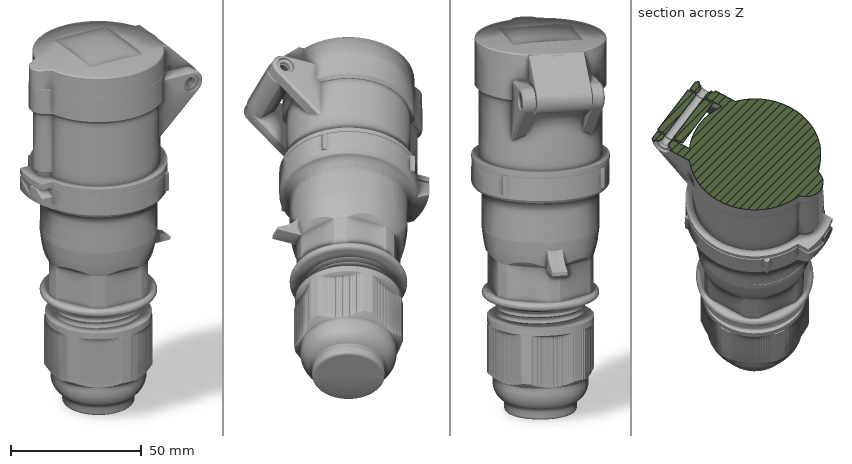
import math

import cadquery as cq

OVERLAP = 1.0

TOTAL_HEIGHT = 150.43
GLAND_NECK_TOP = 4.6
GLAND_NECK_BLEND = 0.9
GLAND_DOME_TOP = 11.5
NUT_BOTTOM = 14.0
NUT_CHAMFER_TOP = 16.2
NUT_COLLAR_BOTTOM = 35.6
NUT_TOP = 38.2
SEAL_BOTTOM = 45.76
SEAL_TOP = 48.8
HEX_TOP = 62.6
BODY_TAPER_TOP = 73.3
BODY_TOP = 85.9
RING_FILLET_TOP = 89.6
RING_CHAMFER_BOTTOM = 90.1
RING_BOTTOM = 91.2
RING_TOP = 102.4
CAP_BOTTOM = 129.2
LID_SEAM = 140.7
LID_RIM = 148.75

OUTLET_RADIUS = 13.9
OUTLET_EDGE = 1.1
GLAND_WAIST_RADIUS = 14.4
GLAND_RADIUS = 36.8 / 2
NUT_COLLAR_RADIUS = 41 / 2
THREAD_RADIUS = 34.5 / 2
THREAD_ROOT_RADIUS = 31.29 / 2
THREAD_PITCH = 2.5
THREAD_SINK = 0.2
THREAD_LEAD_IN = 1.5
SEAL_RADIUS = 45.0 / 2
HEX_CORNER_RADIUS = 41 / 2
BODY_RADIUS = 45.12 / 2
BODY_TAPER_RADIUS = 21.85
RING_RADIUS = 53 / 2
RING_CHAMFER = 0.8
RING_FILLET_RIM = 24.5
BARREL_RADIUS = 23.75
CAP_RADIUS = 25.3
LID_STEP = 0.1
LID_RADIUS = CAP_RADIUS - LID_STEP
LID_EDGE_CHAMFER = 0.4

HEX_SIDES = 6
HEX_TURN = 360 / HEX_SIDES
HALF_SIDE_ANGLE = math.pi / HEX_SIDES
NUT_FLAT_DISTANCE = 37.7 / 2
NUT_STRIP_DISTANCE = 20.75
NUT_COLLAR_BEVEL = 1.0
GRIP_GROOVE_PITCH = 0.9
GRIP_GROOVE_WIDTH = 0.45
GRIP_GROOVE_DEPTH = 0.25

HEX_FLAT_DISTANCE = 18.88

BODY_LABEL_WIDTH = 40.0
BODY_LABEL_BOTTOM = 75.7
BODY_LABEL_TOP = 84.2
BODY_LABEL_CORNER = 2.0
BODY_LABEL_DEPTH = 0.15
LID_LABEL_LENGTH = 27.8
LID_LABEL_WIDTH = 23.2
LID_LABEL_CORNER = 1.5
LID_LABEL_FLOOR = 149.7

RING_GROOVE_BOTTOM = 100.1
RING_GROOVE_WIDTH = 0.5
RING_GROOVE_DEPTH = 0.3
CATCH_WIDTH = 16.9
CATCH_REACH = 31.05
CATCH_ROOT_RADIUS = 25.3
CATCH_SLOPE_TOP = 93.6
CATCH_BLOCK_TOP = 99.2
CATCH_NOTCH_FLOOR = 95.7
CATCH_NOTCH_WALL_X = 1.3
CATCH_NOSE_X = 5.0
CATCH_NOSE_TIP = 96.1
TOOTH_BOTTOM = 92.5
TOOTH_WIDTH = 1.8
TOOTH_CORNERS = ((-20.6, -19.2), (-20.6, 18.4), (19.8, 19.7), (11.2, -24.8))

RIDGE_RADIUS = 5.3
RIDGE_CENTRE_Y = -22.75
RIDGE_BOTTOM = 104.5
RIDGE_FOOT_RADIUS = 4.3
RIDGE_EDGE = 0.4
CAP_RIDGE_RADIUS = 6.7
LID_RIDGE_RADIUS = 5.35
CAP_RIDGE_TIP = 29.85
LID_RIDGE_BLEND = 2.5
CAP_CHAMFER = 1.2

PIVOT_Y = 31.95
PIVOT_Z = 133.6
PIVOT_BORE = 3.2
PIVOT_STEP_DIAMETER = 4.3
PIVOT_RECESS_DIAMETER = 7.0
PIVOT_STEP_DEPTH = 2.0
PIVOT_RECESS_DEPTH = 1.0
EAR_RADIUS = 5.1
EAR_OUTER_X = 16.15
EAR_INNER_X = 11.3
EAR_EDGE = 0.9
EAR_BACK_Y = 17.5
EAR_BURIED = 5.0
EAR_TIP_Z = 112.9
KNUCKLE_RADIUS = 5.5
ARM_HALF_WIDTH = 10.8
ARM_TOP_Y = 24.5
ARM_TOP_Z = 149.1
ARM_GAP_Y = 26.0

LUG_THICKNESS = 6.0
LUG_TIP_Y = 30.1
LUG_TIP_HEIGHT = 1.4
LUG_BOTTOM = 62.2
LUG_TOP = 70.6
LUG_HOLLOW_RADIUS = 15.0


def cylinder(radius, bottom, top, y=0.0):
    """Upright cylinder between two heights."""
    return cq.Workplane("XY", origin=(0, y, bottom)).circle(radius).extrude(top - bottom)


def block(x_range, y_range, z_range):
    """Box between pairs of limits."""
    size = [high - low for low, high in (x_range, y_range, z_range)]
    corner = (x_range[0], y_range[0], z_range[0])
    return cq.Workplane("XY").box(*size, centered=False).translate(corner)


def revolve_about_z(profile):
    """Turn a closed (radius, height) outline round the axis."""
    return profile.close().revolve(360, (0, 0, 0), (0, 1, 0))


def ring_band(inner, outer, bottom, top):
    return cylinder(outer, bottom, top).cut(cylinder(inner, bottom, top))


def make_outlet():
    """Rounded dome narrowing to the cable outlet."""
    dome_inset = GLAND_RADIUS - GLAND_WAIST_RADIUS
    dome_height = GLAND_DOME_TOP - GLAND_NECK_TOP
    dome_radius = (dome_inset**2 + dome_height**2) / (2 * dome_inset)
    profile = (
        cq.Workplane("XZ")
        .moveTo(0, 0)
        .lineTo(OUTLET_RADIUS - OUTLET_EDGE, 0)
        .radiusArc((OUTLET_RADIUS, OUTLET_EDGE), -OUTLET_EDGE)
        .lineTo(OUTLET_RADIUS, GLAND_NECK_TOP - GLAND_NECK_BLEND)
        .lineTo(GLAND_WAIST_RADIUS, GLAND_NECK_TOP)
        .radiusArc((GLAND_RADIUS, GLAND_DOME_TOP), -dome_radius)
        .lineTo(GLAND_RADIUS, NUT_BOTTOM)
        .lineTo(0, NUT_BOTTOM)
    )
    return revolve_about_z(profile)


def make_nut():
    """Hexagonal gland nut with plain corner strips, grooved flats and a round collar."""
    grip_height = NUT_COLLAR_BOTTOM - NUT_BOTTOM
    corner_diameter = 2 * NUT_FLAT_DISTANCE / math.cos(HALF_SIDE_ANGLE)
    strip_diameter = 2 * NUT_STRIP_DISTANCE / math.cos(HALF_SIDE_ANGLE)
    base = cq.Workplane("XY", origin=(0, 0, NUT_BOTTOM))
    hexagon = base.polygon(HEX_SIDES, corner_diameter).extrude(grip_height)
    turned_base = base.transformed(rotate=(0, 0, HEX_TURN / 2))
    corner_cutter = turned_base.polygon(HEX_SIDES, strip_diameter).extrude(grip_height)
    chamfer_slope = (NUT_CHAMFER_TOP - NUT_BOTTOM) / (NUT_STRIP_DISTANCE - GLAND_RADIUS)
    chamfer_rise = chamfer_slope * (corner_diameter / 2 - NUT_STRIP_DISTANCE)
    chamfer_cone = revolve_about_z(
        cq.Workplane("XZ")
        .moveTo(0, NUT_BOTTOM)
        .lineTo(GLAND_RADIUS, NUT_BOTTOM)
        .lineTo(corner_diameter / 2, NUT_CHAMFER_TOP + chamfer_rise)
        .lineTo(corner_diameter / 2, NUT_TOP)
        .lineTo(0, NUT_TOP)
    )
    grip = hexagon.intersect(corner_cutter).cut(make_grip_grooves()).intersect(chamfer_cone)
    collar = revolve_about_z(
        cq.Workplane("XZ")
        .moveTo(0, NUT_COLLAR_BOTTOM - NUT_COLLAR_BEVEL)
        .lineTo(NUT_FLAT_DISTANCE, NUT_COLLAR_BOTTOM - NUT_COLLAR_BEVEL)
        .lineTo(NUT_COLLAR_RADIUS, NUT_COLLAR_BOTTOM)
        .lineTo(NUT_COLLAR_RADIUS, NUT_TOP)
        .lineTo(0, NUT_TOP)
    )
    return grip.union(collar)


def make_grip_grooves():
    """Fine upright grooves on all six flats of the nut."""
    corner_distance = NUT_FLAT_DISTANCE / math.cos(HALF_SIDE_ANGLE)
    strip_half_width = (corner_distance - NUT_STRIP_DISTANCE) / math.tan(HALF_SIDE_ANGLE)
    flat_width = corner_distance - 2 * strip_half_width / math.cos(HALF_SIDE_ANGLE)
    count = int(flat_width / GRIP_GROOVE_PITCH)
    grooves = (
        cq.Workplane("XY", origin=(0, -NUT_FLAT_DISTANCE, NUT_BOTTOM))
        .rarray(GRIP_GROOVE_PITCH, 1, count, 1)
        .rect(GRIP_GROOVE_WIDTH, 2 * GRIP_GROOVE_DEPTH)
        .extrude(NUT_COLLAR_BOTTOM - NUT_BOTTOM)
    )
    all_grooves = []
    for face in range(HEX_SIDES):
        all_grooves += grooves.rotate((0, 0, 0), (0, 0, 1), HEX_TURN * face).vals()
    return cq.Workplane("XY").newObject([cq.Compound.makeCompound(all_grooves)])


def make_thread():
    """Helical thread whose ends run into the nut and the seal."""
    bottom = NUT_TOP - THREAD_LEAD_IN
    top = SEAL_BOTTOM + OVERLAP
    root = THREAD_ROOT_RADIUS - THREAD_SINK
    half_base = 0.4 * THREAD_PITCH
    half_crest = 0.04 * THREAD_PITCH
    helix = cq.Wire.makeHelix(THREAD_PITCH, top - bottom, root).translate(cq.Vector(0, 0, bottom))
    ridge = (
        cq.Workplane("XZ")
        .moveTo(root, bottom - half_base)
        .lineTo(THREAD_RADIUS, bottom - half_crest)
        .lineTo(THREAD_RADIUS, bottom + half_crest)
        .lineTo(root, bottom + half_base)
        .close()
        .sweep(cq.Workplane("XY").newObject([helix]), isFrenet=True)
    )
    return cylinder(THREAD_ROOT_RADIUS, NUT_TOP - OVERLAP, SEAL_BOTTOM + OVERLAP).union(ridge)


def make_body():
    """Round body tapering into a hexagon with cut-back corners."""
    taper_middle = (HEX_TOP + BODY_TAPER_TOP) / 2
    profile = (
        cq.Workplane("XZ")
        .moveTo(0, SEAL_TOP)
        .lineTo(HEX_CORNER_RADIUS, SEAL_TOP)
        .lineTo(HEX_CORNER_RADIUS, HEX_TOP)
        .threePointArc((BODY_TAPER_RADIUS, taper_middle), (BODY_RADIUS, BODY_TAPER_TOP))
        .lineTo(BODY_RADIUS, BODY_TOP)
        .lineTo(0, BODY_TOP)
    )
    body = revolve_about_z(profile)
    run_out = 6.0
    flat_cutter = (
        cq.Workplane("XZ")
        .moveTo(HEX_FLAT_DISTANCE, SEAL_TOP)
        .lineTo(HEX_FLAT_DISTANCE, HEX_TOP)
        .lineTo(HEX_FLAT_DISTANCE + run_out, HEX_TOP + run_out)
        .lineTo(HEX_FLAT_DISTANCE + run_out, SEAL_TOP)
        .close()
        .extrude(BODY_RADIUS, both=True)
    )
    for face in range(HEX_SIDES):
        body = body.cut(flat_cutter.rotate((0, 0, 0), (0, 0, 1), HEX_TURN * face))
    return body.cut(make_body_label()).union(make_seal())


def make_body_label():
    """Shallow rounded panel wrapped round the front of the body."""
    height = BODY_LABEL_TOP - BODY_LABEL_BOTTOM
    window = (
        cq.Workplane("XZ", origin=(0, 0, BODY_LABEL_BOTTOM + height / 2))
        .rect(BODY_LABEL_WIDTH, height)
        .extrude(RING_RADIUS)
        .edges("|Y")
        .fillet(BODY_LABEL_CORNER)
    )
    skin = ring_band(BODY_RADIUS - BODY_LABEL_DEPTH, RING_RADIUS, BODY_LABEL_BOTTOM, BODY_LABEL_TOP)
    return skin.intersect(window)


def make_seal():
    """Flat seal ring with a fully rounded rim."""
    rounding = (SEAL_TOP - SEAL_BOTTOM) / 2
    profile = (
        cq.Workplane("XZ")
        .moveTo(0, SEAL_BOTTOM)
        .lineTo(SEAL_RADIUS - rounding, SEAL_BOTTOM)
        .threePointArc((SEAL_RADIUS, SEAL_BOTTOM + rounding), (SEAL_RADIUS - rounding, SEAL_TOP))
        .lineTo(0, SEAL_TOP)
    )
    return revolve_about_z(profile)


def make_lug():
    """Upright fin with a hollow upper edge on the back of the body."""
    tip_top = LUG_BOTTOM + LUG_TIP_HEIGHT
    return (
        cq.Workplane("YZ")
        .moveTo(HEX_FLAT_DISTANCE - 2 * OVERLAP, LUG_BOTTOM)
        .lineTo(LUG_TIP_Y, LUG_BOTTOM)
        .lineTo(LUG_TIP_Y, tip_top)
        .radiusArc((BODY_TAPER_RADIUS, LUG_TOP), LUG_HOLLOW_RADIUS)
        .lineTo(HEX_FLAT_DISTANCE - 2 * OVERLAP, LUG_TOP)
        .close()
        .extrude(LUG_THICKNESS / 2, both=True)
    )


def make_ring():
    """Locking ring with a grooved rim, blended into the body below it."""
    fillet_width = RING_FILLET_RIM - BODY_RADIUS
    fillet_height = RING_FILLET_TOP - BODY_TOP
    fillet_radius = (fillet_width**2 + fillet_height**2) / (2 * fillet_width)
    profile = (
        cq.Workplane("XZ")
        .moveTo(0, BODY_TOP)
        .lineTo(BODY_RADIUS, BODY_TOP)
        .radiusArc((RING_FILLET_RIM, RING_FILLET_TOP), fillet_radius)
        .lineTo(RING_RADIUS - RING_CHAMFER, RING_CHAMFER_BOTTOM)
        .lineTo(RING_RADIUS, RING_BOTTOM)
        .lineTo(RING_RADIUS, RING_TOP)
        .lineTo(0, RING_TOP)
    )
    groove = ring_band(
        RING_RADIUS - RING_GROOVE_DEPTH,
        CATCH_REACH,
        RING_GROOVE_BOTTOM,
        RING_GROOVE_BOTTOM + RING_GROOVE_WIDTH,
    )
    ring = revolve_about_z(profile).cut(groove)
    for x, y in TOOTH_CORNERS:
        ring = ring.union(make_tooth(x, y))
    return ring.union(make_catch())


def make_tooth(x, y):
    """Small upright grip tooth whose outer corner is at (x, y)."""
    inner_x = x - math.copysign(TOOTH_WIDTH, x)
    inner_y = y - math.copysign(TOOTH_WIDTH, y)
    return block(sorted((x, inner_x)), sorted((y, inner_y)), (TOOTH_BOTTOM, RING_GROOVE_BOTTOM))


def make_catch():
    """Front catch: a plate level with the rim above a notched block with a sloped underside."""
    half = CATCH_WIDTH / 2
    outline = (
        cq.Workplane("XZ")
        .moveTo(-half, RING_CHAMFER_BOTTOM)
        .lineTo(-half, CATCH_BLOCK_TOP)
        .lineTo(0, CATCH_NOTCH_FLOOR)
        .lineTo(CATCH_NOTCH_WALL_X, CATCH_NOTCH_FLOOR)
        .lineTo(CATCH_NOTCH_WALL_X, CATCH_BLOCK_TOP)
        .lineTo(CATCH_NOSE_X, CATCH_BLOCK_TOP)
        .lineTo(half, CATCH_NOSE_TIP)
        .lineTo(half, RING_CHAMFER_BOTTOM)
        .close()
        .extrude(CATCH_REACH)
    )
    underside = revolve_about_z(
        cq.Workplane("XZ")
        .moveTo(CATCH_ROOT_RADIUS, RING_CHAMFER_BOTTOM)
        .lineTo(CATCH_REACH, CATCH_SLOPE_TOP)
        .lineTo(CATCH_REACH, RING_CHAMFER_BOTTOM)
    )
    plate = block((-half, half), (-CATCH_REACH, 0), (RING_GROOVE_BOTTOM, RING_TOP))
    envelope = cylinder(CATCH_REACH, RING_CHAMFER_BOTTOM, RING_TOP)
    core = cylinder(BARREL_RADIUS, RING_CHAMFER_BOTTOM, RING_TOP)
    return outline.cut(underside).union(plate).intersect(envelope).union(core)


def make_barrel():
    """Plain barrel with the keyway ridge down its front."""
    barrel = cylinder(BARREL_RADIUS, RING_TOP - OVERLAP, CAP_BOTTOM + OVERLAP)
    ridge = cylinder(RIDGE_RADIUS, RIDGE_BOTTOM, CAP_BOTTOM + OVERLAP, RIDGE_CENTRE_Y)
    ridge = ridge.faces("<Z").edges().chamfer(RIDGE_EDGE)
    foot = cylinder(RIDGE_FOOT_RADIUS, RING_TOP - OVERLAP, RIDGE_BOTTOM + OVERLAP, RIDGE_CENTRE_Y)
    return barrel.union(ridge).union(foot)


def ridged_outline(radius, ridge_radius, bottom, top):
    """Round plate with a smaller round nose at the front, joined by hollow blends."""
    ridge_y = ridge_radius - CAP_RIDGE_TIP
    reach = radius + LID_RIDGE_BLEND
    ridge_reach = ridge_radius + LID_RIDGE_BLEND
    blend_y = (reach**2 - ridge_reach**2 + ridge_y**2) / (2 * ridge_y)
    blend_x = math.sqrt(reach**2 - blend_y**2)
    shoulder = (blend_x * radius / reach, blend_y * radius / reach)
    share = ridge_radius / ridge_reach
    hip = (blend_x * share, ridge_y + (blend_y - ridge_y) * share)
    return (
        cq.Workplane("XY", origin=(0, 0, bottom))
        .moveTo(*shoulder)
        .threePointArc((0, radius), (-shoulder[0], shoulder[1]))
        .radiusArc((-hip[0], hip[1]), LID_RIDGE_BLEND)
        .threePointArc((0, -CAP_RIDGE_TIP), hip)
        .radiusArc(shoulder, LID_RIDGE_BLEND)
        .close()
        .extrude(top - bottom)
    )


def make_cap():
    cap = cylinder(CAP_RADIUS, CAP_BOTTOM, LID_SEAM)
    cap = cap.union(cylinder(CAP_RIDGE_RADIUS, CAP_BOTTOM, LID_SEAM, CAP_RIDGE_RADIUS - CAP_RIDGE_TIP))
    return cap.faces("<Z").edges().chamfer(CAP_CHAMFER)


def make_lid():
    """Slightly domed lid with a flat label panel."""
    edge_radius = LID_RADIUS - LID_EDGE_CHAMFER
    edge_height = LID_RIM + LID_EDGE_CHAMFER
    crest_radius = LID_LABEL_WIDTH / 2
    square_sums = TOTAL_HEIGHT**2 + crest_radius**2 - edge_height**2 - edge_radius**2
    dome_centre = square_sums / (2 * (TOTAL_HEIGHT - edge_height))
    dome_radius = math.hypot(edge_radius, edge_height - dome_centre)
    ball = cq.Workplane("XY", origin=(0, 0, dome_centre)).sphere(dome_radius)
    blank = ridged_outline(LID_RADIUS, LID_RIDGE_RADIUS, LID_SEAM, TOTAL_HEIGHT + OVERLAP)
    lid = blank.intersect(ball).faces(">Z").edges().chamfer(LID_EDGE_CHAMFER)
    label = (
        cq.Workplane("XY", origin=(0, 0, LID_LABEL_FLOOR))
        .rect(LID_LABEL_LENGTH, LID_LABEL_WIDTH)
        .extrude(TOTAL_HEIGHT)
        .edges("|Z")
        .fillet(LID_LABEL_CORNER)
    )
    return lid.cut(label)


def tangent_point(y, z, radius, side):
    """Point where a line from (y, z) touches a circle round the pivot; side picks which of two."""
    distance = math.hypot(y - PIVOT_Y, z - PIVOT_Z)
    angle = math.atan2(z - PIVOT_Z, y - PIVOT_Y) + side * math.acos(radius / distance)
    return (PIVOT_Y + radius * math.cos(angle), PIVOT_Z + radius * math.sin(angle))


def make_ear(outward):
    """Triangular hinge ear, its inner end buried in the barrel; outward is +1 or -1 along X."""
    touch = tangent_point(EAR_BACK_Y, EAR_TIP_Z, EAR_RADIUS, 1)
    slope = (touch[1] - EAR_TIP_Z) / (touch[0] - EAR_BACK_Y)
    ear_top = PIVOT_Z + EAR_RADIUS
    buried_y = EAR_BACK_Y - EAR_BURIED
    ear = (
        cq.Workplane("YZ", origin=(outward * EAR_INNER_X, 0, 0))
        .moveTo(buried_y, EAR_TIP_Z - slope * EAR_BURIED)
        .lineTo(*touch)
        .threePointArc((PIVOT_Y + EAR_RADIUS, PIVOT_Z), (PIVOT_Y, ear_top))
        .lineTo(buried_y, ear_top)
        .close()
        .extrude(outward * (EAR_OUTER_X - EAR_INNER_X))
    )
    outer_face = ">X" if outward > 0 else "<X"
    return ear.faces(outer_face).edges().chamfer(EAR_EDGE)


def make_hinge_arm():
    """Arm of the lid ending in the knuckle between the ears."""
    touch = tangent_point(ARM_TOP_Y, ARM_TOP_Z, KNUCKLE_RADIUS, -1)
    return (
        cq.Workplane("YZ")
        .moveTo(ARM_GAP_Y, LID_SEAM)
        .lineTo(0, LID_SEAM)
        .lineTo(0, LID_RIM)
        .lineTo(ARM_TOP_Y, ARM_TOP_Z)
        .lineTo(*touch)
        .threePointArc((PIVOT_Y + KNUCKLE_RADIUS, PIVOT_Z), (PIVOT_Y, PIVOT_Z - KNUCKLE_RADIUS))
        .lineTo(ARM_GAP_Y, PIVOT_Z)
        .close()
        .extrude(ARM_HALF_WIDTH, both=True)
    )


def pivot_drill(diameter, depth):
    """Drill along the pivot, entering both ears to the given depth."""
    pins = cq.Workplane("XY")
    for outward in (-1, 1):
        pin = (
            cq.Workplane("YZ", origin=(outward * EAR_OUTER_X, PIVOT_Y, PIVOT_Z))
            .circle(diameter / 2)
            .extrude(-outward * depth)
        )
        pins = pins.union(pin)
    return pins


def drill_pivot(part):
    part = part.cut(pivot_drill(PIVOT_BORE, EAR_OUTER_X))
    part = part.cut(pivot_drill(PIVOT_STEP_DIAMETER, PIVOT_STEP_DEPTH))
    return part.cut(pivot_drill(PIVOT_RECESS_DIAMETER, PIVOT_RECESS_DEPTH))


def make_connector():
    part = make_outlet().union(make_nut()).union(make_thread())
    part = part.union(make_body()).union(make_lug())
    part = part.union(make_ring()).union(make_barrel())
    part = part.union(make_cap()).union(make_lid()).union(make_hinge_arm())
    for outward in (-1, 1):
        part = part.union(make_ear(outward))
    return drill_pivot(part)


result = make_connector()